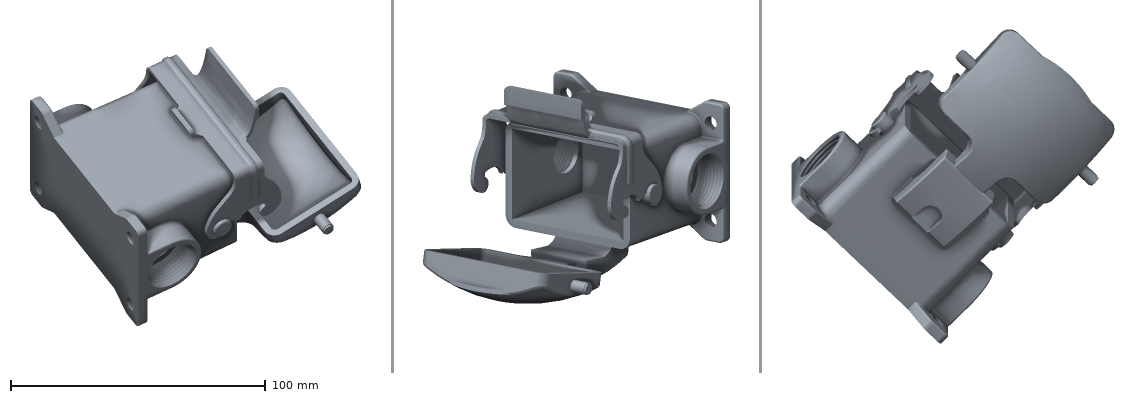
import cadquery as cq
import math


rim_half_x = 30.1
rim_half_z = 21.9
draft_inset = 0.8
base_half_x = rim_half_x + draft_inset
base_half_z = rim_half_z + draft_inset
draft_length = 47.3
rim_length = 4.8
root_fillet_radius = 0.8
housing_length = draft_length + rim_length
draft_angle = math.degrees(math.atan(draft_inset / draft_length))
rim_corner_radius = 5.0
base_corner_radius = rim_corner_radius + draft_inset
wall = 3.2
floor_thickness = 4.6

flange_half_x = 41.3
flange_half_z = 28.5
flange_inner_x = 22.9
flange_slope_x = 32.1
flange_thickness = 4.5
flange_corner_radius = 2.4
flange_edge_radius = 0.8
flange_slope_radius = 3.4
mount_hole_x = 35.0
mount_hole_z = 19.9
mount_hole_diameter = 5.7

port_y = 15.6
boss_radius = 13.6
boss_edge_radius = 0.8
thread_minor_radius = 10.8
thread_major_radius = 11.2
thread_depth = 12.6
thread_ridge_count = 8
thread_pitch = thread_depth / thread_ridge_count
port_through_radius = 8.2

pivot_y = 42.6
pivot_radius = 4.0
pivot_half_x = 35.6
pivot_chamfer = 0.3

bracket_half_x = 13.6
bracket_edge = 0.7
bracket_root_radius = 0.7
bracket_front_y = 27.8
bracket_back_y = 58.7
bracket_top_z = -20.6
bracket_pocket_radius = 4.5
bracket_pocket_y = 36.1
bracket_pocket_top_z = -29.9
bracket_pocket_depth = 11.5

lever_half_x = 34.0
lever_top_z = 26.2
sheet = 1.7
lever_bend_radius = 3.2
strap_front_y = 49.1
strap_back_y = 62.3
lever_reach_y = 74.4
strap_underside_z = lever_top_z - sheet
rib_y = 57.8
rib_width = 3.5
rib_height = 0.8
rib_end_z = 8.0
tab_corner_radius = 2.3
handle_half_x = 18.7
handle_tip_z = 41.6
handle_tip_y = 69.2
stop_tab_half_x = 7.8
stop_tab_tip_y = 44.0
stop_tab_tip_z = 29.5
stop_tab_straight_z = 29.1
stop_tab_sheet = 2.1
tab_root_flare = 1.4

cover_tilt = 12.5
cover_y = 89.1
cover_z = -22.3
cover_half_x = rim_half_x
cover_half_v = 21.6
cover_corner_radius = 5.0
dome_radius = 63.5
dome_center_height = 47.3
cover_wall = 2.7
cavity_corner_radius = 2.1
dome_thickness = 2.4
cover_block_depth = 22.9
neck_half_x = 8.2
neck_root_radius = 5.0
neck_end_v = -34.6
lip_radius = 48.1
lip_tip_v = 23.5
lip_thickness = 1.7
cover_edge_radius = 0.6
cover_pin_radius = 2.5
cover_pin_half_x = 37.4
cover_pin_depth = 5.0
cover_pin_v = -0.2
cover_pin_tip = 0.8
cover_pin_tip_step = 0.3


def plane_facing_y(y):
    """Sketch plane at a given Y, with X to the right and extrusions toward +Y."""
    return cq.Workplane(cq.Plane(origin=(0, y, 0), xDir=(1, 0, 0), normal=(0, 1, 0)))


def both_sides(solid):
    """The shape together with its mirror image across X = 0."""
    return solid.union(solid.mirror("YZ"))


def x_cylinder(radius, x_start, length, y, z=0):
    return cq.Workplane("YZ", origin=(x_start, y, z)).circle(radius).extrude(length)


def housing_box():
    drafted = (
        plane_facing_y(0)
        .sketch()
        .rect(2 * base_half_x, 2 * base_half_z)
        .vertices()
        .fillet(base_corner_radius)
        .finalize()
        .extrude(draft_length, taper=draft_angle)
    )
    rim = (
        plane_facing_y(draft_length)
        .rect(2 * rim_half_x, 2 * rim_half_z)
        .extrude(rim_length)
        .edges("|Y")
        .fillet(rim_corner_radius)
    )
    return drafted.union(rim)


def flange():
    plate = (
        plane_facing_y(0)
        .moveTo(flange_inner_x, -base_half_z)
        .lineTo(flange_slope_x, -flange_half_z)
        .lineTo(flange_half_x, -flange_half_z)
        .lineTo(flange_half_x, flange_half_z)
        .lineTo(flange_slope_x, flange_half_z)
        .lineTo(flange_inner_x, base_half_z)
        .close()
        .extrude(flange_thickness)
    )
    plate = plate.edges("|Y and >X").fillet(flange_corner_radius)
    slope_band = cq.selectors.BoxSelector(
        (flange_slope_x - 1.1, -1.1, -flange_half_z - 1.1),
        (flange_slope_x + 1.1, flange_thickness + 1.1, flange_half_z + 1.1),
    )
    plate = plate.edges("|Y").edges(slope_band).fillet(flange_slope_radius)
    plate = plate.faces(">Y").edges().fillet(flange_edge_radius)
    holes = (
        plane_facing_y(0)
        .pushPoints([(mount_hole_x, mount_hole_z), (mount_hole_x, -mount_hole_z)])
        .circle(mount_hole_diameter / 2)
        .extrude(flange_thickness)
    )
    return plate.cut(holes)


def port_boss():
    root_x = rim_half_x - wall
    boss = (
        cq.Workplane("YZ", origin=(root_x, 0, 0))
        .moveTo(0, -boss_radius)
        .lineTo(port_y, -boss_radius)
        .threePointArc((port_y + boss_radius, 0), (port_y, boss_radius))
        .lineTo(0, boss_radius)
        .close()
        .extrude(flange_half_x - root_x)
    )
    return boss.faces(">X").edges("not |Z").fillet(boss_edge_radius)


def port_bore():
    """Through hole with a wider outer part whose V-shaped ridges stand for the thread."""
    thread_end_x = flange_half_x - thread_depth
    bore = x_cylinder(port_through_radius, 0, flange_half_x, port_y)
    for ridge in range(thread_ridge_count):
        ridge_start_x = thread_end_x + ridge * thread_pitch
        ring = (
            cq.Workplane("XY", origin=(0, port_y, 0))
            .moveTo(ridge_start_x, 0)
            .lineTo(ridge_start_x, thread_major_radius)
            .lineTo(ridge_start_x + thread_pitch / 2, thread_minor_radius)
            .lineTo(ridge_start_x + thread_pitch, thread_major_radius)
            .lineTo(ridge_start_x + thread_pitch, 0)
            .close()
            .revolve(360, (0, 0, 0), (1, 0, 0))
        )
        bore = bore.union(ring)
    return bore


def pivot_pin():
    root_x = rim_half_x - wall
    return x_cylinder(pivot_radius, root_x, pivot_half_x - root_x, pivot_y).faces(">X").chamfer(pivot_chamfer)


def hinge_bracket():
    body = (
        cq.Workplane("YZ", origin=(-bracket_half_x, 0, 0))
        .moveTo(bracket_front_y, bracket_top_z)
        .lineTo(29.8, -31.8)
        .threePointArc((43.3, -35.4), (57.6, -36.0))
        .lineTo(bracket_back_y, -27.3)
        .lineTo(47.0, -28.4)
        .threePointArc((41.9, -26.3), (38.9, bracket_top_z))
        .close()
        .extrude(2 * bracket_half_x)
    )
    side = bracket_half_x + 1.1
    lower_edges = cq.selectors.BoxSelector((-side, bracket_front_y, -45.8), (side, bracket_back_y, -28.6))
    front_edges = cq.selectors.BoxSelector((-side, bracket_front_y, -28.6), (side, bracket_front_y + 2.3, -25.2))
    body = body.edges(lower_edges + front_edges).chamfer(bracket_edge)
    pocket = (
        cq.Workplane("XY", origin=(0, bracket_pocket_y, bracket_pocket_top_z))
        .moveTo(-bracket_pocket_radius, 0)
        .threePointArc((0, bracket_pocket_radius), (bracket_pocket_radius, 0))
        .lineTo(bracket_pocket_radius, -bracket_pocket_y)
        .lineTo(-bracket_pocket_radius, -bracket_pocket_y)
        .close()
        .extrude(-bracket_pocket_depth)
    )
    return body.cut(pocket)


def edges_around(points, reach=0.7):
    """Selector for the edges whose midpoints lie close to the given points."""
    selector = None
    for point in points:
        box = cq.selectors.BoxSelector([c - reach for c in point], [c + reach for c in point])
        selector = box if selector is None else selector + box
    return selector


def fillet_boss_and_flange_roots(body):
    root_points = []
    for side in (-1, 1):
        for end in (-1, 1):
            boss_on_wall = (side * base_half_x, (flange_thickness + port_y) / 2, end * boss_radius)
            boss_on_flange = (side * (base_half_x + flange_half_x) / 2, flange_thickness, end * boss_radius)
            straight_end_z = base_half_z - base_corner_radius
            wall_on_flange = (side * base_half_x, flange_thickness, end * (boss_radius + straight_end_z) / 2)
            root_points += [boss_on_wall, boss_on_flange, wall_on_flange]
    return body.edges(edges_around(root_points)).fillet(root_fillet_radius)


def fillet_bracket_root(body):
    """Rounds the edges where the bracket meets the slightly sloping underside of the housing."""
    side = bracket_half_x + 1.1
    root_band = cq.selectors.BoxSelector(
        (-side, bracket_front_y, -base_half_z),
        (side, pivot_y, -rim_half_z),
    )
    return body.edges(root_band).fillet(bracket_root_radius)


def build_housing():
    cavity = (
        plane_facing_y(floor_thickness)
        .rect(2 * (rim_half_x - wall), 2 * (rim_half_z - wall))
        .extrude(housing_length - floor_thickness)
    )
    body = housing_box().union(both_sides(flange())).union(both_sides(port_boss()))
    body = fillet_boss_and_flange_roots(body)
    body = fillet_bracket_root(body.union(hinge_bracket())).union(both_sides(pivot_pin()))
    return body.cut(cavity).cut(both_sides(port_bore()))


def channel(inset, y, length):
    """Rounded block filling the lever outline, drawn in on every side by an inset."""
    half_x = lever_half_x - inset
    height = lever_top_z - inset
    return (
        plane_facing_y(y)
        .rect(2 * half_x, 2 * height)
        .extrude(length)
        .edges("|Y")
        .fillet(lever_bend_radius - inset)
    )


def lever_side_outline():
    return (
        cq.Workplane("YZ", origin=(-lever_half_x, 0, 0))
        .moveTo(strap_front_y, lever_top_z)
        .lineTo(strap_front_y, 22.4)
        .threePointArc((48.5, 19.5), (46.6, 16.5))
        .lineTo(41.2, 11.2)
        .threePointArc((37.4, 6.0), (35.7, 0.7))
        .threePointArc((36.5, -2.9), (39.8, -5.7))
        .threePointArc((40.9, -5.3), (41.1, -3.9))
        .lineTo(46.8, 1.3)
        .lineTo(51.1, -1.0)
        .threePointArc((51.8, 0.5), (52.4, 1.3))
        .threePointArc((57.7, 3.1), (62.1, 2.4))
        .threePointArc((63.0, 1.1), (62.2, 0.0))
        .threePointArc((60.6, -3.4), (63.7, -5.8))
        .threePointArc((68.0, -4.0), (70.3, 0.9))
        .threePointArc((69.5, 6.3), (66.6, 12.5))
        .lineTo(63.5, 16.5)
        .threePointArc((62.5, 19.5), (strap_back_y, 22.4))
        .lineTo(strap_back_y, lever_top_z)
        .close()
        .extrude(2 * lever_half_x)
    )


def lever_rib():
    """Half-round bead swept up one side of the lever, across its top and down the other side."""
    corner_x = lever_half_x - lever_bend_radius
    corner_z = lever_top_z - lever_bend_radius
    sag = lever_bend_radius * (1 - math.sqrt(0.5))
    path = (
        cq.Workplane("XZ", origin=(0, rib_y, 0))
        .moveTo(-lever_half_x, rib_end_z)
        .lineTo(-lever_half_x, corner_z)
        .threePointArc((-lever_half_x + sag, lever_top_z - sag), (-corner_x, lever_top_z))
        .lineTo(corner_x, lever_top_z)
        .threePointArc((lever_half_x - sag, lever_top_z - sag), (lever_half_x, corner_z))
        .lineTo(lever_half_x, rib_end_z)
    )
    embedded = sheet / 2
    profile = (
        cq.Workplane("XY", origin=(-lever_half_x, rib_y, rib_end_z))
        .moveTo(embedded, -rib_width / 2)
        .lineTo(0, -rib_width / 2)
        .threePointArc((-rib_height, 0), (0, rib_width / 2))
        .lineTo(embedded, rib_width / 2)
        .close()
    )
    return profile.sweep(path)


def tab_flare(half_x, edge_y, outward):
    """Widening of a tab where it leaves the strap; outward is +1 or -1 along Y."""
    end_y = edge_y + outward * tab_root_flare
    return (
        cq.Workplane("XY", origin=(0, 0, strap_underside_z))
        .polyline(
            [
                (-half_x - tab_root_flare, edge_y),
                (half_x + tab_root_flare, edge_y),
                (half_x, end_y),
                (-half_x, end_y),
            ]
        )
        .close()
        .extrude(sheet)
    )


def handle_tab():
    profile = (
        cq.Workplane("YZ", origin=(-handle_half_x, 0, 0))
        .moveTo(strap_back_y, lever_top_z)
        .lineTo(strap_back_y, strap_underside_z)
        .spline(
            [(64.6, 25.5), (66.5, 28.9), (68.1, 33.9), (handle_tip_y, handle_tip_z)],
            tangents=[(1, 0.1), (0, 1)],
            includeCurrent=True,
        )
        .lineTo(handle_tip_y - sheet, handle_tip_z)
        .spline(
            [(66.5, 34.6), (65.2, 29.5), (64.0, 27.5), (strap_back_y, lever_top_z)],
            tangents=[(0, -1), (-1, -0.4)],
            includeCurrent=True,
        )
        .close()
    )
    return profile.extrude(2 * handle_half_x).faces(">Z").edges("|Y").fillet(tab_corner_radius)


def stop_tab():
    profile = (
        cq.Workplane("YZ", origin=(-stop_tab_half_x, 0, 0))
        .moveTo(strap_front_y, lever_top_z)
        .lineTo(strap_front_y, strap_underside_z)
        .threePointArc((45.6, 25.8), (stop_tab_tip_y, stop_tab_straight_z))
        .lineTo(stop_tab_tip_y, stop_tab_tip_z)
        .lineTo(stop_tab_tip_y + stop_tab_sheet, stop_tab_tip_z)
        .lineTo(stop_tab_tip_y + stop_tab_sheet, stop_tab_straight_z)
        .tangentArcPoint((strap_front_y, lever_top_z), relative=False)
        .close()
    )
    return profile.extrude(2 * stop_tab_half_x).faces(">Z").edges("|Y").fillet(tab_corner_radius)


def build_lever():
    shell = channel(0, 0, lever_reach_y).cut(channel(sheet, 0, lever_reach_y))
    lever = shell.intersect(lever_side_outline())
    lever = lever.union(lever_rib()).union(handle_tab()).union(stop_tab())
    lever = lever.union(tab_flare(handle_half_x, strap_back_y, 1))
    lever = lever.union(tab_flare(stop_tab_half_x, strap_front_y, -1))
    pins = x_cylinder(pivot_radius, -pivot_half_x, 2 * pivot_half_x, pivot_y)
    return lever.cut(pins)


def dome_ball(radius):
    return cq.Workplane("XY", origin=(0, 0, dome_center_height)).sphere(radius)


def cover_block(half_x, half_v, radius):
    return (
        cq.Workplane("XY")
        .rect(2 * half_x, 2 * half_v)
        .extrude(-cover_block_depth)
        .edges("|Z")
        .fillet(radius)
    )


def cover_neck():
    root_x = neck_half_x + neck_root_radius
    root_v = -cover_half_v
    sag = neck_root_radius * (1 - math.sqrt(0.5))
    return (
        cq.Workplane("XY")
        .moveTo(-root_x, root_v + cover_wall / 2)
        .lineTo(-root_x, root_v)
        .threePointArc((-neck_half_x - sag, root_v - sag), (-neck_half_x, root_v - neck_root_radius))
        .lineTo(-neck_half_x, neck_end_v)
        .lineTo(neck_half_x, neck_end_v)
        .lineTo(neck_half_x, root_v - neck_root_radius)
        .threePointArc((neck_half_x + sag, root_v - sag), (root_x, root_v))
        .lineTo(root_x, root_v + cover_wall / 2)
        .close()
        .extrude(-cover_block_depth)
    )


def cover_lip():
    lip_side = (
        cq.Workplane("XY", origin=(0, lip_tip_v - lip_radius, 0))
        .circle(lip_radius)
        .extrude(-cover_block_depth)
        .intersect(
            cq.Workplane("XY", origin=(0, cover_half_v, 0))
            .rect(2 * cover_half_x, 2 * cover_wall)
            .extrude(-cover_block_depth)
        )
    )
    return lip_side.intersect(dome_ball(dome_radius)).cut(dome_ball(dome_radius - lip_thickness))


def cover_pin():
    shaft_end = cover_pin_half_x - cover_pin_tip
    root_x = cover_half_x - cover_wall
    shaft = x_cylinder(cover_pin_radius, root_x, shaft_end - root_x, cover_pin_v, -cover_pin_depth)
    tip_radius = cover_pin_radius - cover_pin_tip_step
    tip = x_cylinder(tip_radius, shaft_end, cover_pin_tip, cover_pin_v, -cover_pin_depth)
    return shaft.union(tip)


def build_cover(housing):
    """The cover is modelled with its rim on Z = 0, opening upward, then tilted into place."""
    body = cover_block(cover_half_x, cover_half_v, cover_corner_radius).union(cover_neck())
    body = body.intersect(dome_ball(dome_radius))
    body = body.faces("<Z").edges().chamfer(cover_edge_radius)
    cavity = cover_block(cover_half_x - cover_wall, cover_half_v - cover_wall, cavity_corner_radius)
    cavity = cavity.intersect(dome_ball(dome_radius - dome_thickness))
    cover = body.union(cover_lip()).cut(cavity).union(both_sides(cover_pin()))
    cover = cover.rotate((0, 0, 0), (1, 0, 0), cover_tilt).translate((0, cover_y, cover_z))
    return cover.cut(housing)


housing = build_housing()
lever = build_lever()
cover = build_cover(housing)
result = cq.Compound.makeCompound([housing.val(), lever.val(), cover.val()])